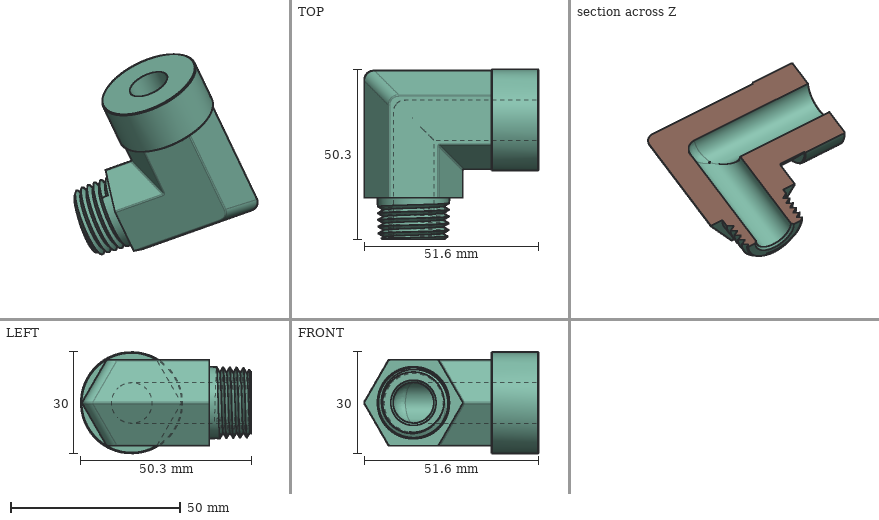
import cadquery as cq
import math


across_flats = 25.4
across_corners = across_flats / math.cos(math.radians(30))
leg_length = 23.0
edge_radius = 0.5

collar_diameter = 30.0
collar_length = 14.0
collar_chamfer = 0.3

stub_length = 12.3
stub_diameter = 21.34
stub_tip_diameter = 18.2
tip_chamfer = 1.0
taper_slope = 1 / 32
thread_pitch = 2.0
thread_depth = 1.6
crest_flat = 0.06
plain_neck_length = 1.55
groove_lead_in = 30

bore_diameter = 12.0
mouth_chamfer = 0.7
sliver_height = 0.04

bend_radius = 3.5

collar_end = leg_length + collar_length
stub_end = leg_length + stub_length


def point_along_y_leg(shape):
    """Turn a shape built along +Z so that it points along -Y."""
    return shape.rotate((0, 0, 0), (1, 0, 0), 90)


def mitered_elbow(section, x_length, y_length):
    """Join bars of one section along +X and -Y, meeting at a 45 degree miter.

    section(plane) returns the bar's outline drawn on the named plane.
    """
    reach = x_length + y_length
    x_side = (
        cq.Workplane("XY")
        .polyline([(-reach, reach), (reach, reach), (reach, -reach)])
        .close()
        .extrude(reach, both=True)
    )
    x_bar = section("YZ").extrude(reach + x_length).translate((-reach, 0, 0))
    y_bar = section("XZ").extrude(reach + y_length).translate((0, reach, 0))
    return x_bar.intersect(x_side).union(y_bar.cut(x_side))


def make_body():
    """Hexagonal elbow with a rounded bend and softened long edges."""
    def hexagon(plane):
        return cq.Workplane(plane).polygon(6, across_corners)

    body = mitered_elbow(hexagon, leg_length, leg_length)
    miter_center = 3 / 8 * across_corners
    half_window = across_corners / 16
    outer_miter = cq.selectors.BoxSelector(
        (-miter_center - half_window, miter_center - half_window, -across_flats),
        (-miter_center + half_window, miter_center + half_window, across_flats),
    )
    body = body.edges(outer_miter).fillet(bend_radius)
    return body.edges("not (>X or <Y)").fillet(edge_radius)


def make_collar():
    """Round collar with both rims lightly chamfered."""
    return (
        cq.Workplane("YZ", origin=(leg_length, 0, 0))
        .circle(collar_diameter / 2)
        .extrude(collar_length)
        .edges()
        .chamfer(collar_chamfer)
    )


def make_stub():
    """Tapered stub with a chamfered tip and a helical V groove."""
    base_radius = stub_diameter / 2
    chamfer_start = stub_length - tip_chamfer
    stub = (
        cq.Workplane("XZ")
        .polyline([
            (0, leg_length),
            (base_radius, leg_length),
            (base_radius - taper_slope * chamfer_start, leg_length + chamfer_start),
            (stub_tip_diameter / 2, stub_end),
            (0, stub_end),
        ])
        .close()
        .revolve(360, (0, 0), (0, 1))
    )
    return point_along_y_leg(stub.cut(make_thread_groove()))


def make_thread_groove():
    """V-shaped cutter winding along +Z, clear of the plain neck where it passes the +X side."""
    half_width = (thread_pitch - crest_flat) / 2
    first_groove = leg_length + plain_neck_length + thread_pitch / 2
    crest_radius = stub_diameter / 2 - taper_slope * (first_groove - leg_length)
    root_radius = crest_radius - thread_depth
    outer_radius = crest_radius + thread_depth
    helix = cq.Wire.makeHelix(
        thread_pitch,
        stub_length,
        root_radius,
        center=cq.Vector(0, 0, first_groove),
        angle=-math.degrees(math.atan(taper_slope)),
    )
    groove = (
        cq.Workplane("XZ")
        .polyline([
            (root_radius, first_groove),
            (crest_radius, first_groove + half_width),
            (outer_radius, first_groove + half_width),
            (outer_radius, first_groove - half_width),
            (crest_radius, first_groove - half_width),
        ])
        .close()
        .sweep(cq.Workplane(helix), isFrenet=True)
    )
    lead_in_advance = thread_pitch * groove_lead_in / 360
    return groove.rotate((0, 0, 0), (0, 0, 1), -groove_lead_in).translate((0, 0, -lead_in_advance))


def make_passage():
    """Elbow-shaped bore, rounded around the outside of the bend, with a countersunk mouth."""
    bore_radius = bore_diameter / 2

    def bore_circle(plane):
        return cq.Workplane(plane).circle(bore_radius)

    bore = mitered_elbow(bore_circle, collar_end, stub_end)
    box_size = 4 * (collar_end + stub_end)
    middle = cq.Workplane("XY").box(box_size, box_size, bore_diameter - 2 * sliver_height)
    slivers = bore.cut(middle)
    outer_miter = cq.selectors.BoxSelector(
        (-bore_radius, 0, -bore_radius), (-bore_radius / 2, bore_radius, bore_radius)
    )
    bore = bore.intersect(middle).edges(outer_miter).fillet(bend_radius).union(slivers)
    countersink = cq.Solid.makeCone(
        bore_radius,
        bore_radius + mouth_chamfer,
        mouth_chamfer,
        pnt=cq.Vector(0, mouth_chamfer - stub_end, 0),
        dir=cq.Vector(0, -1, 0),
    )
    return bore.union(cq.Workplane(countersink))


result = make_body().union(make_collar()).union(make_stub()).cut(make_passage())